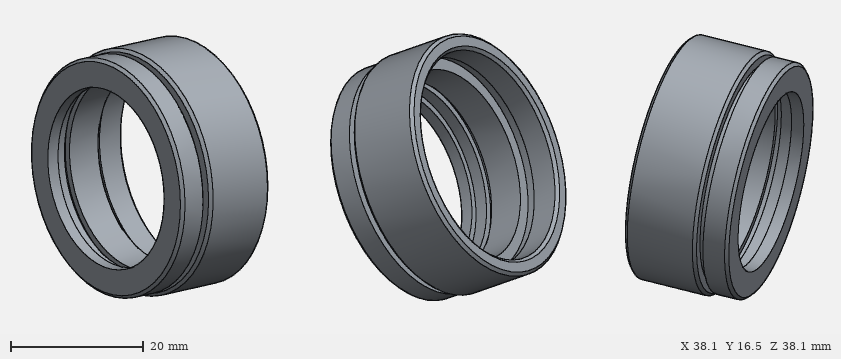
import cadquery as cq

length = 16.5
body_radius = 19.05
collar_radius = 18.48
neck_radius = 17.1
collar_end = 4.0
body_start = 5.0
edge_chamfer = 0.5

lip_radius = 14.02
lip_length = 2.0
bore_radius = 15.0
groove_radius = 16.05
groove_start = 4.0
groove_end = 5.0
relief_start = 10.5
relief_end = 12.0
relief_radius = 16.88
counterbore_radius = 16.5


def revolve_about_y(profile):
    """Revolve a closed (radius, axial place) profile, centred along Y."""
    points = [(radius, place - length / 2) for radius, place in profile]
    return cq.Workplane("XY").polyline(points).close().revolve(360, (0, 0, 0), (0, 1, 0))


outer_profile = [
    (0, 0),
    (collar_radius - edge_chamfer, 0),
    (collar_radius, edge_chamfer),
    (collar_radius, collar_end),
    (neck_radius, collar_end),
    (neck_radius, body_start),
    (body_radius - edge_chamfer, body_start),
    (body_radius, body_start + edge_chamfer),
    (body_radius, length - edge_chamfer),
    (body_radius - edge_chamfer, length),
    (0, length),
]

bore_profile = [
    (0, 0),
    (lip_radius, 0),
    (lip_radius, lip_length),
    (bore_radius, lip_length),
    (bore_radius, groove_start),
    (groove_radius, groove_start),
    (groove_radius, groove_end),
    (bore_radius, groove_end),
    (bore_radius, relief_start),
    (relief_radius, relief_start),
    (relief_radius, relief_end),
    (counterbore_radius, relief_end),
    (counterbore_radius, length - edge_chamfer),
    (counterbore_radius + edge_chamfer, length),
    (0, length),
]

result = revolve_about_y(outer_profile).cut(revolve_about_y(bore_profile))